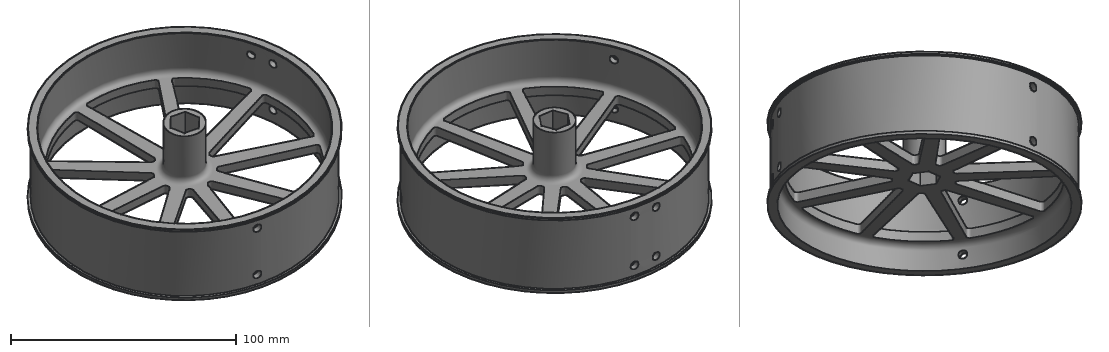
import cadquery as cq
import math

flange_radius = 69.8
flange_thickness = 1.5
drum_radius = 68.6
bore_radius = 65.4
rim_height = 41.2
top_flange_chamfer = 0.3

hub_radius = 9.5
hub_top = 44.4
hex_across_flats = 12.7

web_bottom = 13.0
web_top = 17.7
fillet_radius = 3.1

spoke_count = 9
window_inner_radius = 14.4
window_outer_radius = 62.0
spoke_width_at_hub = 7.4
spoke_width_at_rim = 5.9
window_corner_radius = 1.5

cross_hole_diameter = 4.0
cross_hole_end_distance = 7.1
single_hole_angles = [210, 330]
pair_center_angle = 90
pair_half_angle = 5


def ring(outer_radius, inner_radius, bottom, height):
    return (
        cq.Workplane("XY", origin=(0, 0, bottom))
        .circle(outer_radius)
        .circle(inner_radius)
        .extrude(height)
    )


def make_rim():
    """Drum with a plain bottom flange and a chamfered top flange."""
    drum = ring(drum_radius, bore_radius, 0, rim_height)
    for bottom in (0, rim_height - flange_thickness):
        drum = drum.union(ring(flange_radius, bore_radius, bottom, flange_thickness))
    top_edges = drum.faces(">Z").edges()
    flange_underside_edge = drum.edges(
        cq.selectors.RadiusNthSelector(-1)
    ).edges(
        cq.selectors.NearestToPointSelector((flange_radius, 0, rim_height - flange_thickness))
    )
    return top_edges.add(flange_underside_edge).chamfer(top_flange_chamfer)


def make_body_section():
    """Revolve the web together with the hub and its fillets."""
    hub_fillet_radius = hub_radius + fillet_radius
    rim_side_radius = bore_radius - fillet_radius
    diagonal = fillet_radius * (1 - math.sqrt(0.5))
    mid_height = diagonal
    overlap_radius = (bore_radius + drum_radius) / 2
    return (
        cq.Workplane("XZ")
        .moveTo(0, web_bottom)
        .lineTo(rim_side_radius, web_bottom)
        .threePointArc(
            (bore_radius - diagonal, web_bottom - mid_height),
            (bore_radius, web_bottom - fillet_radius),
        )
        .lineTo(overlap_radius, web_bottom - fillet_radius)
        .lineTo(overlap_radius, web_top + fillet_radius)
        .lineTo(bore_radius, web_top + fillet_radius)
        .threePointArc(
            (bore_radius - diagonal, web_top + mid_height),
            (rim_side_radius, web_top),
        )
        .lineTo(hub_fillet_radius, web_top)
        .threePointArc(
            (hub_radius + diagonal, web_top + mid_height),
            (hub_radius, web_top + fillet_radius),
        )
        .lineTo(hub_radius, hub_top)
        .lineTo(0, hub_top)
        .close()
        .revolve(360, (0, 0, 0), (0, 1, 0))
    )


def make_window():
    """One window, centred on the -Y axis, between two neighbouring spokes."""
    half_pitch = math.pi / spoke_count

    def corner(radius, spoke_width):
        angle = half_pitch - math.asin(spoke_width / 2 / radius)
        return radius * math.sin(angle), -radius * math.cos(angle)

    inner_x, inner_y = corner(window_inner_radius, spoke_width_at_hub)
    outer_x, outer_y = corner(window_outer_radius, spoke_width_at_rim)
    return (
        cq.Workplane("XY", origin=(0, 0, web_bottom - fillet_radius))
        .moveTo(-inner_x, inner_y)
        .threePointArc((0, -window_inner_radius), (inner_x, inner_y))
        .lineTo(outer_x, outer_y)
        .threePointArc((0, -window_outer_radius), (-outer_x, outer_y))
        .close()
        .extrude(web_top - web_bottom + 2 * fillet_radius)
        .edges("|Z")
        .fillet(window_corner_radius)
    )


def make_cross_hole(angle, height):
    start_radius = bore_radius - fillet_radius
    return (
        cq.Workplane("YZ", origin=(start_radius, 0, height))
        .circle(cross_hole_diameter / 2)
        .extrude(flange_radius - start_radius)
        .rotate((0, 0, 0), (0, 0, 1), angle)
    )


result = make_rim().union(make_body_section())

window = make_window()
for index in range(spoke_count):
    result = result.cut(window.rotate((0, 0, 0), (0, 0, 1), index * 360 / spoke_count))

hex_across_corners = hex_across_flats / math.cos(math.pi / 6)
result = result.cut(cq.Workplane("XY").polygon(6, hex_across_corners).extrude(hub_top))

hole_angles = single_hole_angles + [
    pair_center_angle - pair_half_angle,
    pair_center_angle + pair_half_angle,
]
for hole_angle in hole_angles:
    for hole_height in (cross_hole_end_distance, rim_height - cross_hole_end_distance):
        result = result.cut(make_cross_hole(hole_angle, hole_height))